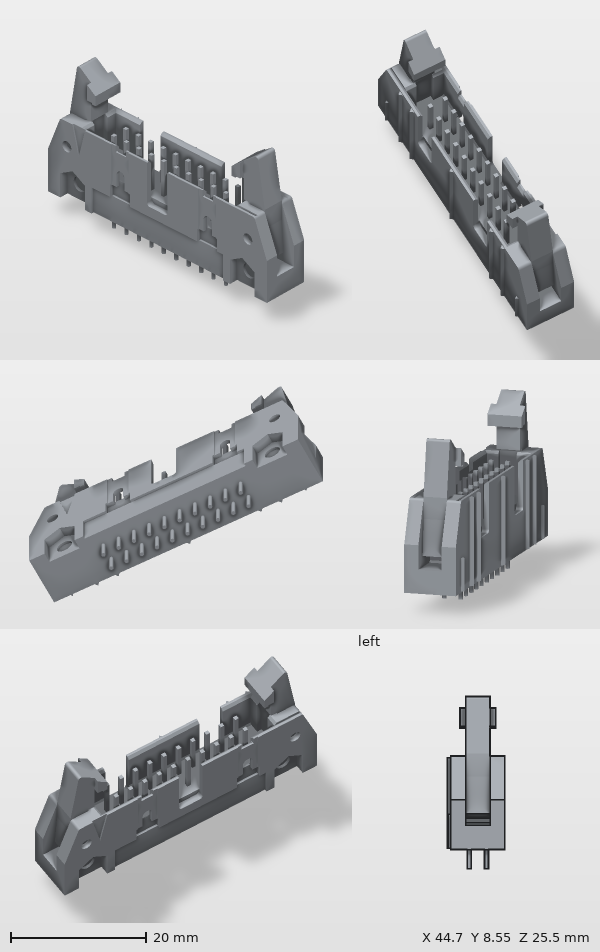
import cadquery as cq

LENGTH = 44.7
DEPTH = 8.0
HEIGHT = 13.85
SHOULDER_HEIGHT = 7.35
SHOULDER_INSET = 2.55
CORNER_RADIUS = 0.55
FRONT = -DEPTH / 2
BACK = DEPTH / 2

WALL = 0.8
CAVITY_HALF = 15.3
CAVITY_FLOOR = 7.25
RIM_CHAMFER = 0.4
FLOOR_CHAMFER = 0.25
RIM_GROOVE_END = 19.65

NOTCH_WIDTH = 4.15
NOTCH_FLOOR = 6.3
BACK_NOTCH_X = 8.3

SLOT_WIDTH = 3.6
SLOT_FLOOR = 3.6
SLOT_END = 16.7
SLOT_CHAMFER = 0.3
END_WALL_FACE = 16.1
END_RECESS_WIDTH = 2.8

LATCH_FACE = 15.6
LATCH_LEDGE = 14.13
LATCH_APEX_X = 18.35
LATCH_APEX_Z = 22.98
LATCH_TIP_RADIUS = 0.45
LATCH_BACK_X = 19.85
LATCH_BACK_TOP = 14.15
LATCH_BACK_BOTTOM = 10.8
LATCH_HEEL_X = 20.25
LATCH_HEEL_Z = 5.27
LATCH_TOE_Z = 4.6
HOOK_WIDTH = 5.3
HOOK_TIP = 13.9
HOOK_TIP_TOP = 19.65
HOOK_BOTTOM = 18.2
HOOK_LIP_BOTTOM = 17.92
HOOK_LIP_WIDTH = 0.7

PINS_PER_ROW = 10
ROW_LENGTH = 22.85
PITCH = ROW_LENGTH / (PINS_PER_ROW - 1)
PIN_WIDTH = 0.63
PIN_TOP = 13.3
PIN_BOTTOM = -2.85

BASE_HALF = 13.4
BASE_TOP = 4.55
BASE_DEPTH = 0.45
WINDOW_CENTERS = (-3 * PITCH, 4 * PITCH)
PANEL_WIDTH = 3.55
PANEL_DEPTH = 0.15
POCKET_WIDTH = 4.05
POCKET_TOP = 6.75
WINDOW_WIDTH = 1.65
WINDOW_TOP = 9.75
TOP_NOTCH_OUTER = 2.2
TOP_NOTCH_INNER = 1.88
TOP_NOTCH_FLOOR = 12.8
MARK_X = -16.05
MARK_WIDTH = 2.6
MARK_TIP = 8.7
MARK_DEPTH = 0.25

NUT_X = 17.3
NUT_WIDTH = 5.0
NUT_SHOULDER = 4.25
NUT_APEX = 5.68
NUT_DEPTH = 1.55
SCREW_Z = 2.7
SCREW_DIAMETER = 2.5
SCREW_DEPTH = 0.45
PIVOT_X = 18.45
PIVOT_Z = 9.48
PIVOT_DIAMETER = 1.85
PIVOT_DEPTH = 0.9

RIB_HEIGHT = 0.55
RIB_WIDTH = 0.9
RIB_TOP = 13.6
RIB_POSITIONS = (-15.3, -11.9, 0.0, 11.9, 15.3)
END_RIB_X = 19.45
END_RIB_HEIGHT = 0.4
END_RIB_WIDTH = 0.6
END_RIB_TOP = 5.25
RIB_BOTTOM = 0.2


def box(x0, x1, y0, y1, z0, z1):
    return cq.Workplane("XY").box(x1 - x0, y1 - y0, z1 - z0, centered=False).translate((x0, y0, z0))


def front_prism(points, y0, y1):
    """Extrude an outline of (x, z) points from y0 to y1."""
    return cq.Workplane("XZ", origin=(0, y1, 0)).polyline(points).close().extrude(y1 - y0)


def side_prism(points, x0, x1):
    """Extrude an outline of (y, z) points from x0 to x1."""
    return cq.Workplane("YZ", origin=(x0, 0, 0)).polyline(points).close().extrude(x1 - x0)


def top_prism(points, z0, z1):
    """Extrude an outline of (x, y) points from z0 to z1."""
    return cq.Workplane("XY", origin=(0, 0, z0)).polyline(points).close().extrude(z1 - z0)


def front_cylinder(x, z, diameter, y0, y1):
    return cq.Workplane("XZ", origin=(x, y1, z)).circle(diameter / 2).extrude(y1 - y0)


def mirrored(shape):
    return shape.union(shape.mirror("YZ"))


def make_block():
    half = LENGTH / 2
    top_half = half - SHOULDER_INSET
    outline = [
        (-half, 0), (half, 0), (half, SHOULDER_HEIGHT), (top_half, HEIGHT),
        (-top_half, HEIGHT), (-half, SHOULDER_HEIGHT),
    ]
    block = front_prism(outline, FRONT, BACK)
    return block.edges("|Y").edges(">Z").fillet(CORNER_RADIUS)


def make_cavity():
    inner = BACK - WALL
    cavity = box(-CAVITY_HALF, CAVITY_HALF, -inner, inner, CAVITY_FLOOR, HEIGHT)
    cavity = cavity.faces("<Z").edges("|X").chamfer(FLOOR_CHAMFER)
    rim = (
        cq.Workplane("XY", origin=(0, 0, HEIGHT - RIM_CHAMFER))
        .rect(2 * CAVITY_HALF, 2 * inner)
        .workplane(offset=RIM_CHAMFER)
        .rect(2 * (CAVITY_HALF + RIM_CHAMFER), 2 * (inner + RIM_CHAMFER))
        .loft()
    )
    recess_half = END_RECESS_WIDTH / 2
    end_recess = box(-END_WALL_FACE, END_WALL_FACE, -recess_half, recess_half, CAVITY_FLOOR, HEIGHT)
    cavity = cavity.union(rim).union(end_recess)
    groove = side_prism(
        [(inner, HEIGHT - RIM_CHAMFER), (inner + RIM_CHAMFER, HEIGHT), (inner, HEIGHT)], 0, RIM_GROOVE_END
    )
    return cavity.union(groove).union(groove.mirror("XZ"))


def make_key_notch(x, y0, y1):
    notch = box(x - NOTCH_WIDTH / 2, x + NOTCH_WIDTH / 2, y0, y1, NOTCH_FLOOR, HEIGHT)
    return notch.faces("<Z").edges("|Y").fillet(CORNER_RADIUS)


def make_latch_slot():
    slot = box(-LENGTH / 2, -SLOT_END, -SLOT_WIDTH / 2, SLOT_WIDTH / 2, SLOT_FLOOR, HEIGHT)
    return slot.edges("<Z and >X").chamfer(SLOT_CHAMFER)


def make_window(x):
    """Recessed panel with a deeper pocket below it, an arched window and a tapered top notch."""
    panel = box(x - PANEL_WIDTH / 2, x + PANEL_WIDTH / 2, FRONT, FRONT + PANEL_DEPTH, POCKET_TOP, HEIGHT)
    pocket = box(x - POCKET_WIDTH / 2, x + POCKET_WIDTH / 2, FRONT, FRONT + WALL, BASE_TOP, POCKET_TOP)
    arch_radius = WINDOW_WIDTH / 2
    arch_center = WINDOW_TOP - arch_radius
    window = box(x - arch_radius, x + arch_radius, FRONT, FRONT + WALL, POCKET_TOP, arch_center)
    window = window.union(front_cylinder(x, arch_center, WINDOW_WIDTH, FRONT, FRONT + WALL))
    top_notch = top_prism(
        [
            (x - TOP_NOTCH_OUTER / 2, FRONT), (x + TOP_NOTCH_OUTER / 2, FRONT),
            (x + TOP_NOTCH_INNER / 2, FRONT + WALL), (x - TOP_NOTCH_INNER / 2, FRONT + WALL),
        ],
        TOP_NOTCH_FLOOR, HEIGHT,
    )
    notch_slope = side_prism(
        [
            (FRONT + WALL - RIM_CHAMFER, TOP_NOTCH_FLOOR), (FRONT + WALL, TOP_NOTCH_FLOOR),
            (FRONT + WALL, TOP_NOTCH_FLOOR - RIM_CHAMFER),
        ],
        x - TOP_NOTCH_INNER / 2, x + TOP_NOTCH_INNER / 2,
    )
    return panel.union(pocket).union(window).union(top_notch).union(notch_slope)


def make_floor_chamfer_gap(x):
    """Lets a window pass through the chamfer along the cavity floor."""
    inner_face = FRONT + WALL
    return box(
        x - WINDOW_WIDTH / 2, x + WINDOW_WIDTH / 2, inner_face, inner_face + FLOOR_CHAMFER,
        CAVITY_FLOOR, CAVITY_FLOOR + FLOOR_CHAMFER,
    )


def make_corner_mark():
    outline = [(MARK_X - MARK_WIDTH / 2, HEIGHT), (MARK_X + MARK_WIDTH / 2, HEIGHT), (MARK_X, MARK_TIP)]
    return front_prism(outline, FRONT, FRONT + MARK_DEPTH)


def make_nut_pocket():
    left = -NUT_X - NUT_WIDTH / 2
    right = -NUT_X + NUT_WIDTH / 2
    outline = [(left, 0), (right, 0), (right, NUT_SHOULDER), (-NUT_X, NUT_APEX), (left, NUT_SHOULDER)]
    floor = FRONT + NUT_DEPTH
    pocket = front_prism(outline, FRONT, floor)
    return pocket.union(front_cylinder(-NUT_X, SCREW_Z, SCREW_DIAMETER, floor, floor + SCREW_DEPTH))


def make_latch():
    outline = [
        (-LATCH_APEX_X, LATCH_APEX_Z), (-LATCH_BACK_X, LATCH_BACK_TOP), (-LATCH_BACK_X, LATCH_BACK_BOTTOM),
        (-LATCH_HEEL_X, LATCH_HEEL_Z), (-SLOT_END, LATCH_TOE_Z),
        (-SLOT_END, LATCH_LEDGE), (-LATCH_FACE, LATCH_LEDGE), (-LATCH_FACE, HOOK_BOTTOM),
    ]
    lip_start = -HOOK_TIP - HOOK_LIP_WIDTH
    hook_bottom = [
        (lip_start, HOOK_BOTTOM), (lip_start, HOOK_LIP_BOTTOM),
        (-HOOK_TIP, HOOK_LIP_BOTTOM), (-HOOK_TIP, HOOK_TIP_TOP),
    ]
    arm = front_prism(outline + hook_bottom, -SLOT_WIDTH / 2, SLOT_WIDTH / 2)
    arm = arm.edges(">Z").fillet(LATCH_TIP_RADIUS)
    slope = (LATCH_APEX_Z - HOOK_TIP_TOP) / (LATCH_APEX_X - HOOK_TIP)
    hook_top = HOOK_TIP_TOP + slope * (LATCH_FACE - HOOK_TIP)
    hook = front_prism(
        [(-LATCH_FACE, hook_top), (-LATCH_FACE, HOOK_BOTTOM)] + hook_bottom, -HOOK_WIDTH / 2, HOOK_WIDTH / 2
    )
    return arm.union(hook)


def make_pins():
    rows = cq.Workplane("XY").rarray(PITCH, PITCH, PINS_PER_ROW, 2)
    posts = rows.rect(PIN_WIDTH, PIN_WIDTH).extrude(PIN_TOP)
    tails = rows.circle(PIN_WIDTH / 2).extrude(PIN_BOTTOM)
    return posts.union(tails)


def make_rib(x, width, height, top):
    return top_prism([(x - width / 2, BACK), (x + width / 2, BACK), (x, BACK + height)], RIB_BOTTOM, top)


body = make_block().cut(make_cavity())
body = body.cut(make_key_notch(0, FRONT, FRONT + WALL + FLOOR_CHAMFER))
for notch_x in (-BACK_NOTCH_X, BACK_NOTCH_X):
    body = body.cut(make_key_notch(notch_x, BACK - WALL - FLOOR_CHAMFER, BACK))
body = body.cut(mirrored(make_latch_slot()))

body = body.cut(box(-BASE_HALF, BASE_HALF, FRONT, FRONT + BASE_DEPTH, 0, BASE_TOP))
for window_x in WINDOW_CENTERS:
    body = body.cut(make_window(window_x))
body = body.cut(make_floor_chamfer_gap(WINDOW_CENTERS[1]))
body = body.cut(make_corner_mark())
body = body.cut(mirrored(make_nut_pocket()))
body = body.cut(mirrored(front_cylinder(-PIVOT_X, PIVOT_Z, PIVOT_DIAMETER, FRONT, FRONT + PIVOT_DEPTH)))

result = body.union(mirrored(make_latch())).union(make_pins())
for rib_x in RIB_POSITIONS:
    result = result.union(make_rib(rib_x, RIB_WIDTH, RIB_HEIGHT, RIB_TOP))
for rib_x in (-END_RIB_X, END_RIB_X):
    result = result.union(make_rib(rib_x, END_RIB_WIDTH, END_RIB_HEIGHT, END_RIB_TOP))
result = result.solids()